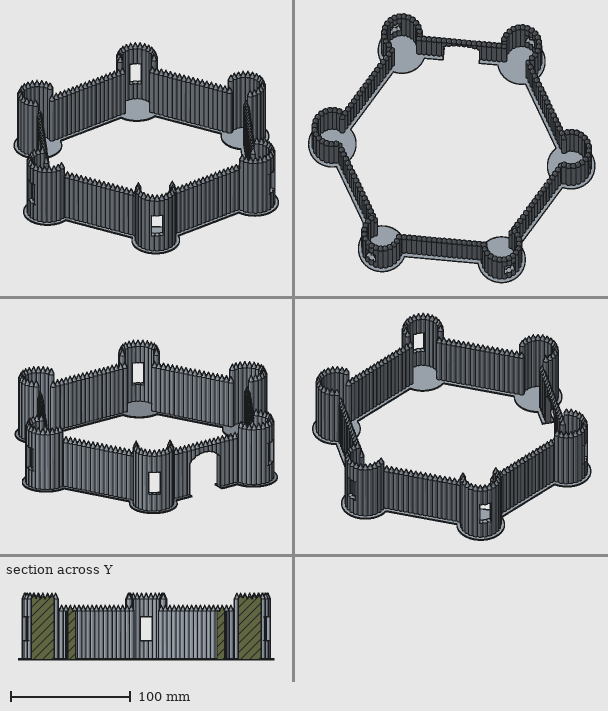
import cadquery as cq
import math

SIDES = 6
CORNER_RADIUS = 100.0
CORNER_ANGLE = 360 / SIDES
APOTHEM = CORNER_RADIUS * math.cos(math.radians(CORNER_ANGLE / 2))

PLATE_THICKNESS = 1.0
TOWER_PLATE_RADIUS = 20.0
WALL_PLATE_WIDTH = 10.0

POST_RADIUS = 2.28
POINT_HEIGHT = 5.0
TOWER_SHOULDER = 51.0
WALL_SHOULDER = 40.8
TOWER_RING_RADIUS = 15.0
TOWER_POSTS = 15
TOWER_POST_STEP = 15.4
WALL_POSTS = 18
WALL_POST_PITCH = 4.2

WINDOW_WIDTH = 9.5
WINDOW_SILL = 16.0
OPENING_TOP = 36.0
WINDOW_DEPTH = 2 * (TOWER_PLATE_RADIUS - TOWER_RING_RADIUS)

GATE_WIDTH = 30.0
GATE_SPRING = 29.0
GATE_SIDE_ANGLE = 240


def spin(shape, angle):
    return shape.rotate((0, 0, 0), (0, 0, 1), angle)


def post(shoulder, x, y):
    outline = (
        cq.Workplane("XZ")
        .lineTo(POST_RADIUS, 0)
        .lineTo(POST_RADIUS, shoulder)
        .lineTo(0, shoulder + POINT_HEIGHT)
        .close()
    )
    return outline.revolve(360, (0, 0), (0, 1)).translate((x, y, 0)).val()


def joined(shapes):
    return cq.Workplane(shapes[0].fuse(*shapes[1:]))


def tower():
    """Ring of posts centred on the +X corner, open towards the fort centre."""
    posts = []
    for index in range(TOWER_POSTS):
        angle = math.radians((index - (TOWER_POSTS - 1) / 2) * TOWER_POST_STEP)
        x = CORNER_RADIUS + TOWER_RING_RADIUS * math.cos(angle)
        y = TOWER_RING_RADIUS * math.sin(angle)
        posts.append(post(TOWER_SHOULDER, x, y))
    window = (
        cq.Workplane("XY")
        .box(WINDOW_DEPTH, WINDOW_WIDTH, OPENING_TOP - WINDOW_SILL, centered=(True, True, False))
        .translate((CORNER_RADIUS + TOWER_RING_RADIUS, 0, WINDOW_SILL))
    )
    return joined(posts).cut(window)


def wall():
    """Straight row of posts on the +X side of the hexagon."""
    posts = []
    for index in range(WALL_POSTS):
        y = (index - (WALL_POSTS - 1) / 2) * WALL_POST_PITCH
        posts.append(post(WALL_SHOULDER, APOTHEM, y))
    return joined(posts)


def plate():
    """Disc under each tower and a strip under each wall."""
    disc = cq.Workplane("XY").center(CORNER_RADIUS, 0).circle(TOWER_PLATE_RADIUS)
    disc = disc.extrude(PLATE_THICKNESS)
    strip = cq.Workplane("XY").center(APOTHEM, 0).rect(WALL_PLATE_WIDTH, CORNER_RADIUS)
    strip = strip.extrude(PLATE_THICKNESS)
    pieces = []
    for side in range(SIDES):
        angle = CORNER_ANGLE * side
        pieces.append(spin(disc, angle + CORNER_ANGLE / 2).val())
        pieces.append(spin(strip, angle).val())
    return joined(pieces)


def gate():
    """Arched cutter crossing the wall and the plate under it."""
    half_width = GATE_WIDTH / 2
    cutter = (
        cq.Workplane("YZ", origin=(APOTHEM - WALL_PLATE_WIDTH, 0, 0))
        .moveTo(-half_width, 0)
        .lineTo(half_width, 0)
        .lineTo(half_width, GATE_SPRING)
        .threePointArc((0, OPENING_TOP), (-half_width, GATE_SPRING))
        .close()
        .extrude(2 * WALL_PLATE_WIDTH)
    )
    return spin(cutter, GATE_SIDE_ANGLE)


one_tower = tower()
one_wall = wall()
parts = [plate().val()]
for side in range(SIDES):
    side_angle = CORNER_ANGLE * side
    parts.append(spin(one_tower, side_angle + CORNER_ANGLE / 2).val())
    parts.append(spin(one_wall, side_angle).val())

fort = joined(parts).cut(gate())
result = cq.Workplane(fort.solids().val())